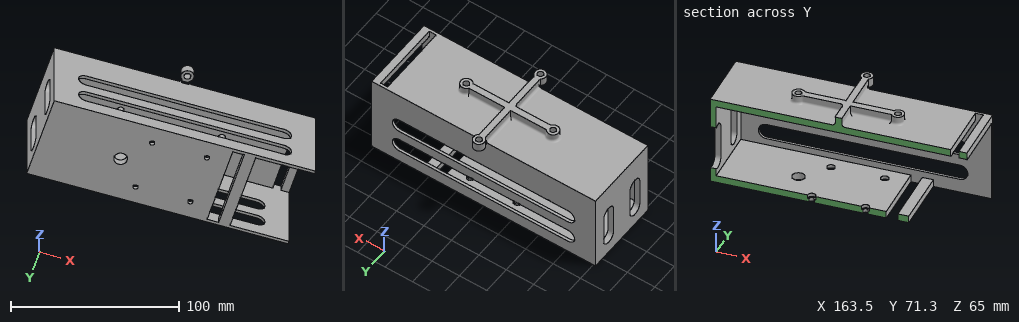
import cadquery as cq
import math

body_length = 163.5
body_width = 54.0
body_height = 59.0
side_wall = 2.0
end_wall = 4.0
floor_thickness = 5.0
roof_thickness = 5.0
cavity_height = body_height - floor_thickness - roof_thickness
cavity_width = body_width - 2 * side_wall

roof_slot_width = 5.0
roof_slot_end_margin = 5.3

floor_setback = 37.0
floor_slot_width = 7.2
floor_slot_margin = 7.1

window_width = 10.0
side_window_length = 133.0
side_window_heights = (14.3, 31.9)
end_window_length = 30.7
end_window_height = 24.5
end_window_offset = body_width / 4

cross_height = 6.0
cross_sink = 1.0
boss_diameter = 8.0
boss_hole_diameter = 4.0
boss_offset = 63.3 / 2
arm_width = 4.4
root_fillet = 2.0

access_hole_diameter = 8.0
screw_head_diameter = 5.0
screw_head_depth = 2.3
screw_hole_diameter = 3.0
screw_pitch_x = 34.2
screw_pitch_y = 32.6

x_boss_points = [(-boss_offset, 0), (boss_offset, 0)]
y_boss_points = [(0, -boss_offset), (0, boss_offset)]


def block(length, width, height, base_z):
    """Box centred on the Z axis, standing on base_z."""
    return cq.Workplane("XY", origin=(0, 0, base_z)).box(length, width, height, centered=(True, True, False))


def cylinders(points, diameter, height, base_z):
    """Equal upright cylinders standing on base_z."""
    return cq.Workplane("XY", origin=(0, 0, base_z)).pushPoints(points).circle(diameter / 2).extrude(height)


def make_rooted_body():
    """Body with the cross standing on its roof, its foot rounded into the roof."""
    wide_body = block(body_length, 2 * boss_offset, body_height, 0)
    x_arm = block(2 * boss_offset, arm_width, cross_height, body_height)
    y_arm = block(arm_width, 2 * boss_offset, cross_height, body_height)
    x_bosses = cylinders(x_boss_points, boss_diameter, cross_height, body_height)
    solid = wide_body.union(x_arm.union(y_arm).union(x_bosses))
    foot_region = cq.selectors.BoxSelector(
        (-body_length / 4, -boss_offset + 0.1, body_height - 0.1),
        (body_length / 4, boss_offset - 0.1, body_height + 0.1),
    )
    foot_edges = solid.edges(foot_region)
    boss_junction_x = -boss_offset + math.sqrt(boss_diameter**2 - arm_width**2) / 2
    rounded_corners = [
        (-arm_width / 2, -arm_width / 2),
        (boss_junction_x, -arm_width / 2),
        (boss_junction_x, arm_width / 2),
    ]
    for corner_x, corner_y in rounded_corners:
        corner = (corner_x, corner_y, body_height + cross_height / 2)
        foot_edges = foot_edges.add(solid.edges(cq.selectors.NearestToPointSelector(corner)))
    solid = foot_edges.fillet(root_fillet)
    return solid.intersect(block(body_length, body_width, body_height + cross_height, 0))


def add_overhangs(solid):
    """Ends of the Y arm that reach past the walls to their bosses."""
    sunk_arm = block(arm_width, 2 * boss_offset - boss_diameter, cross_height + cross_sink, body_height - cross_sink)
    y_arm = block(arm_width, 2 * boss_offset, cross_height, body_height)
    y_bosses = cylinders(y_boss_points, boss_diameter, cross_height, body_height)
    return solid.union(sunk_arm).union(y_arm).union(y_bosses)


def cut_cavity(solid):
    """Battery space, closed at -X and open at +X."""
    cavity = block(body_length, cavity_width, cavity_height, floor_thickness).translate((end_wall, 0, 0))
    return solid.cut(cavity)


def cut_side_windows(solid):
    """Long windows through both side walls."""
    for height in side_window_heights:
        window = (
            cq.Workplane("XZ", origin=(0, 0, height))
            .slot2D(side_window_length, window_width)
            .extrude(body_width, both=True)
        )
        solid = solid.cut(window)
    return solid


def cut_end_windows(solid):
    """Two upright windows through the -X wall."""
    windows = (
        cq.Workplane("YZ", origin=(-body_length / 2, 0, end_window_height))
        .pushPoints([(-end_window_offset, 0), (end_window_offset, 0)])
        .slot2D(end_window_length, window_width, 90)
        .extrude(end_wall)
    )
    return solid.cut(windows)


def cut_across(solid, start_x, length, base_z, height):
    """Cut a rectangular gap as wide as the cavity, running from start_x towards +X."""
    gap = block(length, cavity_width, height, base_z).translate((start_x + length / 2, 0, 0))
    return solid.cut(gap)


def cut_roof_slot(solid):
    """Strap slot through the roof."""
    start_x = body_length / 2 - roof_slot_end_margin - roof_slot_width
    return cut_across(solid, start_x, roof_slot_width, body_height - roof_thickness, roof_thickness)


def cut_floor(solid):
    """Remove the floor near the open end and cut the strap slot beside its edge."""
    floor_end_x = body_length / 2 - floor_setback
    slot_start_x = floor_end_x - floor_slot_margin - floor_slot_width
    solid = cut_across(solid, floor_end_x, floor_setback, 0, floor_thickness)
    return cut_across(solid, slot_start_x, floor_slot_width, 0, floor_thickness)


def cut_holes(solid):
    """Boss holes through the roof, one access hole and four counterbored holes in the floor."""
    boss_holes = cylinders(
        x_boss_points + y_boss_points,
        boss_hole_diameter,
        cross_height + roof_thickness,
        body_height - roof_thickness,
    )
    access_hole = cylinders([(-boss_offset, 0)], access_hole_diameter, floor_thickness, 0)
    solid = solid.cut(boss_holes).cut(access_hole)
    return (
        solid.copyWorkplane(cq.Workplane("XY", origin=(0, 0, floor_thickness)))
        .rarray(screw_pitch_x, screw_pitch_y, 2, 2)
        .cboreHole(screw_hole_diameter, screw_head_diameter, screw_head_depth, floor_thickness)
    )


part = make_rooted_body()
part = add_overhangs(part)
part = cut_cavity(part)
part = cut_side_windows(part)
part = cut_end_windows(part)
part = cut_roof_slot(part)
part = cut_floor(part)
result = cut_holes(part)